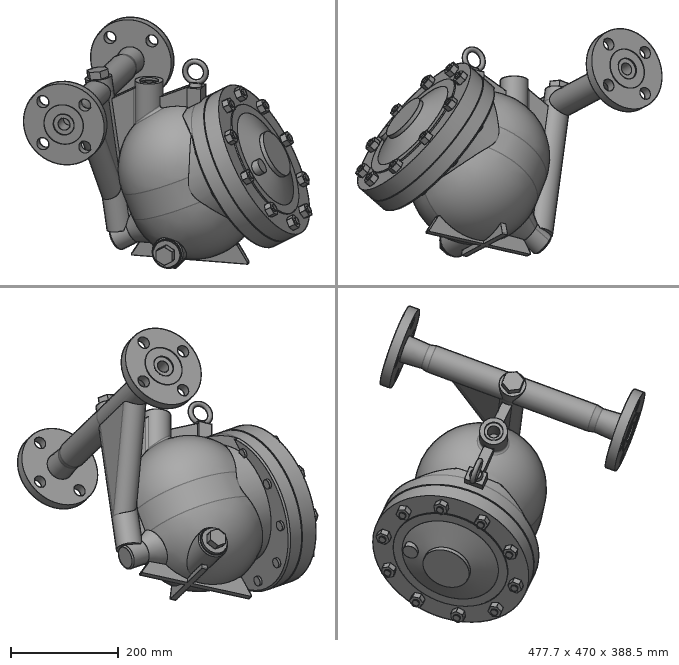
import cadquery as cq
import math


overall_width = 470.0
pipe_height = 310.5
pipe_dia = 52.0
pipe_half_length = 159.5
step_length = 12.5
reducer_waist_dia = 47.0
flange_dia = 156.0
flange_thickness = 19.0
raised_face_dia = 76.0
raised_face_height = 1.5
pipe_bore_dia = 23.0
pipe_counterbore_dia = 40.0
pipe_counterbore_depth = 3.0
pipe_bore_depth = 38.0
flange_hole_dia = 23.0
flange_hole_spacing = 81.0

tilt = 30.0
cover_x = 320.0
cover_z = 203.5
cover_dia = 305.0
cover_thickness = 33.5
body_flange_thickness = 30.5
body_flange_chamfer = 3.5
joint_gap_depth = 1.5
joint_gap_width = 1.0
body_dia = 245.0
body_low_x = 184.5
body_low_z = 127.0
body_high_x = 164.5
body_high_z = 174.5
neck_dia = 232.0
neck_lift = 24.0
neck_length = 100.3
pad_depth = 82.5
pad_width = 89.8
pad_root_width = 219.5

bolt_count = 10
bolt_circle_dia = 262.5
stud_dia = 18.0
stud_tip_dia = 13.5
stud_tip_height = 15.5
stud_end_length = 5.0
nut_size = 23.5
nut_height = 12.5
cover_rim_dia = 223.5
cover_rim_height = 3.0
dome_dia = 188.0
dome_height = 20.0
center_boss_dia = 90.0
center_boss_height = 28.0
side_boss_dia = 28.5
side_boss_offset = 74.0
side_boss_height = 20.0

down_pipe_lean = 8.3
down_pipe_dia = 49.5
down_pipe_x = 3.5
down_pipe_length = 265.0
web_reach = 109.0
web_drop = 200.5
web_edge_dia = 44.0
top_collar_height = 27.0
top_plug_size = 36.0
top_plug_height = 41.5

branch_x = 32.5
branch_z = 26.5
branch_dia = 46.5
branch_length = 119.5
branch_chamfer = 3.0
flare_start = 38.0
flare_length = 33.5
flare_dia = 81.0

inlet_x = 97.5
inlet_dia = 52.0
inlet_top = 339.0
inlet_bottom = 238.5
inlet_recess_dia = 35.0
inlet_recess_depth = 5.0
inlet_bore_dia = 23.0
inlet_bore_depth = 57.5
rib_thickness = 19.0
rib_bottom = 57.5
rib_fillet = 5.0
rib_pipe_top = 285.0
rib_inlet_top = 338.0
rib_low_top = 312.0
eye_block_x = 176.0
eye_block_length = 26.0
eye_block_width = 36.0
eye_block_top = 335.0
eye_x = 187.0
eye_z = 362.5
eye_mean_radius = 20.0
eye_wire_dia = 9.5
eye_collar_dia = 25.0
eye_collar_top_dia = 19.0
eye_collar_height = 7.5

drain_x = 163.5
drain_z = 39.0
drain_dia = 59.5
drain_face = 106.5
drain_washer_dia = 52.0
drain_washer_height = 5.5
drain_head_size = 31.0
drain_head_height = 20.5
drain_chamfer = 2.5

foot_x_min = 65.0
foot_x_max = 289.5
foot_width = 138.0
foot_height = 36.0
foot_edge = 3.0
foot_end_slope = 20.5
foot_side_slope = 9.5
foot_thickness = 11.5

hex_sides = 6
hex_half_step = 180 / hex_sides
cos_tilt = math.cos(math.radians(tilt))
sin_tilt = math.sin(math.radians(tilt))
cover_axis = cq.Vector(cos_tilt, 0, sin_tilt)
cover_up = cq.Vector(-sin_tilt, 0, cos_tilt)
cover_center = cq.Vector(cover_x, 0, cover_z)
rear_face = cq.selectors.DirectionMinMaxSelector(cover_axis, False)
flange_back = cover_thickness + body_flange_thickness


def cover_plane(depth=0.0, lift=0.0):
    """Workplane parallel to the cover: depth behind its face, lift up along it."""
    origin = cover_center - cover_axis * depth + cover_up * lift
    return cq.Workplane(cq.Plane(origin.toTuple(), (0, 1, 0), cover_axis.toTuple()))


def hex_corners(across_flats):
    """Diameter over the corners of a hexagon."""
    return across_flats / math.cos(math.radians(hex_half_step))


def manifold_half():
    """Pipe, reducer and flange on one side, turned about the pipe axis along +Y."""
    face = overall_width / 2
    plate_front = face - raised_face_height
    plate_back = plate_front - flange_thickness
    profile = [
        (0, 0),
        (pipe_dia / 2, 0),
        (pipe_dia / 2, pipe_half_length),
        (reducer_waist_dia / 2, pipe_half_length + step_length),
        (pipe_dia / 2, plate_back),
        (flange_dia / 2, plate_back),
        (flange_dia / 2, plate_front),
        (raised_face_dia / 2, plate_front),
        (raised_face_dia / 2, face),
        (pipe_counterbore_dia / 2, face),
        (pipe_counterbore_dia / 2, face - pipe_counterbore_depth),
        (pipe_bore_dia / 2, face - pipe_counterbore_depth),
        (pipe_bore_dia / 2, face - pipe_bore_depth),
        (0, face - pipe_bore_depth),
    ]
    half = cq.Workplane("XY").polyline(profile).close().revolve(360, (0, 0), (0, 1))
    holes = (
        cq.Workplane("XZ", origin=(0, face, 0))
        .rect(flange_hole_spacing, flange_hole_spacing, forConstruction=True)
        .vertices()
        .circle(flange_hole_dia / 2)
        .extrude(2 * flange_thickness)
    )
    return half.cut(holes).translate((0, 0, pipe_height))


def vessel():
    """Ball-ended body, the neck that carries its flange, and the filleted inlet boss and rib."""
    low_center = cq.Vector(body_low_x, 0, body_low_z)
    high_center = cq.Vector(body_high_x, 0, body_high_z)
    stretch = high_center - low_center
    barrel = (
        cq.Workplane(cq.Plane(low_center.toTuple(), (0, 1, 0), stretch.toTuple()))
        .circle(body_dia / 2)
        .extrude(stretch.Length)
    )
    shape = barrel
    for center in (low_center, high_center):
        shape = shape.union(cq.Workplane("XY").sphere(body_dia / 2).translate(center.toTuple()))
    neck_start = flange_back + neck_length
    neck = cover_plane(neck_start, neck_lift).circle(neck_dia / 2).extrude(neck_length)
    shape = shape.union(neck).union(inlet()).union(inlet_rib())
    root_zone = cq.selectors.BoxSelector(
        (inlet_x - inlet_dia / 2 - rib_fillet, -inlet_dia, inlet_bottom + inlet_dia / 2),
        (inlet_x + inlet_dia / 2, inlet_dia, inlet_top - inlet_dia / 2),
    )
    return shape.edges(root_zone).fillet(rib_fillet)


def pad():
    """Tapered pad behind the top of the body flange, rounded like its rim."""
    wedge_plane = cq.Plane(cover_center.toTuple(), (0, 1, 0), cover_up.toTuple())
    wedge = (
        cq.Workplane(wedge_plane)
        .polyline(
            [
                (-pad_root_width / 2, flange_back - body_flange_chamfer),
                (pad_root_width / 2, flange_back - body_flange_chamfer),
                (pad_width / 2, pad_depth),
                (-pad_width / 2, pad_depth),
            ]
        )
        .close()
        .extrude(cover_dia / 2)
    )
    return wedge.intersect(cover_plane(pad_depth).circle(cover_dia / 2).extrude(pad_depth))


def cover():
    """Body flange and cover with its domed face and two bosses."""
    shape = cover_plane(flange_back).circle(cover_dia / 2).extrude(flange_back)
    shape = shape.faces(rear_face).chamfer(body_flange_chamfer)
    joint = (
        cover_plane(cover_thickness)
        .circle(cover_dia / 2)
        .circle(cover_dia / 2 - joint_gap_depth)
        .extrude(joint_gap_width)
    )
    shape = shape.cut(joint)
    rim = cover_plane().circle(cover_rim_dia / 2).extrude(cover_rim_height)
    dome = (
        cover_plane(-cover_rim_height)
        .circle(dome_dia / 2)
        .workplane(offset=dome_height - cover_rim_height)
        .circle(center_boss_dia / 2)
        .loft()
    )
    center_boss = cover_plane().circle(center_boss_dia / 2).extrude(center_boss_height)
    side_boss = (
        cover_plane().center(-side_boss_offset, 0).circle(side_boss_dia / 2).extrude(side_boss_height)
    )
    return shape.union(rim).union(dome).union(center_boss).union(side_boss)


def fasteners():
    """Nut, stud tip and back stud end at each place on the bolt circle."""
    radius = bolt_circle_dia / 2

    def ring(depth):
        return cover_plane(depth).polarArray(radius, 0, 360, bolt_count)

    nuts = ring(0).polygon(hex_sides, hex_corners(nut_size)).extrude(nut_height)
    tips = ring(0).circle(stud_tip_dia / 2).extrude(stud_tip_height)
    ends = ring(flange_back + stud_end_length).circle(stud_dia / 2).extrude(stud_end_length)
    return nuts, tips, ends


def down_pipe():
    """Leaning pipe below the manifold, its sloping web and the plug on top."""
    upright = cq.Workplane("XY").circle(down_pipe_dia / 2).extrude(-down_pipe_length)
    outer_x = -down_pipe_dia / 2
    web = (
        cq.Workplane("YZ", origin=(outer_x, 0, 0))
        .polyline([(0, 0), (-web_reach, 0), (0, -web_drop)])
        .close()
        .extrude(web_edge_dia)
    )
    slope = cq.Vector(0, web_reach, -web_drop)
    edge_plane = cq.Plane((outer_x + web_edge_dia / 2, -web_reach, 0), (1, 0, 0), slope.toTuple())
    edge = cq.Workplane(edge_plane).circle(web_edge_dia / 2).extrude(slope.Length)
    collar = cq.Workplane("XY").circle(down_pipe_dia / 2).extrude(top_collar_height)
    plug = cq.Workplane("XY").polygon(hex_sides, hex_corners(top_plug_size)).extrude(top_plug_height)
    shape = upright.union(web).union(edge).union(collar).union(plug)
    return shape.rotate((0, 0, 0), (0, 1, 0), -down_pipe_lean).translate((down_pipe_x, 0, pipe_height))


def branch():
    """Capped tube from the foot of the down pipe into the body."""
    plane = cq.Plane((branch_x, 0, branch_z), (0, 1, 0), cover_axis.toTuple())
    tube = cq.Workplane(plane).circle(branch_dia / 2).extrude(branch_length)
    flare = (
        cq.Workplane(plane)
        .workplane(offset=flare_start)
        .circle(branch_dia / 2)
        .workplane(offset=flare_length)
        .circle(flare_dia / 2)
        .loft()
    )
    tube = tube.faces(rear_face).chamfer(branch_chamfer)
    return tube.union(flare)


def inlet():
    """Vertical inlet boss, solid until its bore is cut."""
    height = inlet_top - inlet_bottom
    base = cq.Workplane("XY", origin=(inlet_x, 0, inlet_bottom))
    return base.circle(inlet_dia / 2).extrude(height)


def inlet_rib():
    """Rib from the manifold and down pipe to the inlet boss and body."""
    profile = [
        (branch_x, rib_bottom),
        (0, rib_pipe_top),
        (inlet_x, rib_inlet_top),
        (inlet_x, rib_bottom),
    ]
    return cq.Workplane("XZ").polyline(profile).close().extrude(rib_thickness / 2, both=True)


def inlet_bore():
    """Blind stepped bore in the top of the inlet boss."""
    top = cq.Workplane("XY", origin=(inlet_x, 0, inlet_top))
    recess = top.circle(inlet_recess_dia / 2).extrude(-inlet_recess_depth)
    bore = top.circle(inlet_bore_dia / 2).extrude(-inlet_bore_depth)
    return recess.union(bore)


def lifting_eye():
    """Rib between inlet boss and eye block, with the block, collar and ring."""
    rib = (
        cq.Workplane("XZ")
        .moveTo(inlet_x, inlet_bottom)
        .lineTo(inlet_x, rib_low_top)
        .lineTo(inlet_x + inlet_dia / 2, rib_low_top)
        .lineTo(eye_block_x, eye_block_top)
        .lineTo(eye_block_x, inlet_bottom)
        .close()
        .extrude(rib_thickness / 2, both=True)
    )
    block = (
        cq.Workplane("XY", origin=(eye_block_x + eye_block_length / 2, 0, inlet_bottom))
        .rect(eye_block_length, eye_block_width)
        .extrude(eye_block_top - inlet_bottom)
    )
    collar = (
        cq.Workplane("XY", origin=(eye_x, 0, eye_block_top))
        .circle(eye_collar_dia / 2)
        .workplane(offset=eye_collar_height)
        .circle(eye_collar_top_dia / 2)
        .loft()
    )
    ring = (
        cq.Workplane("XY")
        .center(eye_mean_radius, 0)
        .circle(eye_wire_dia / 2)
        .revolve(360, (-eye_mean_radius, 0), (-eye_mean_radius, 1))
        .translate((eye_x, 0, eye_z))
    )
    return rib.union(block).union(collar).union(ring)


def drain():
    """Round boss on the -Y side with a hexagon plug."""
    face = cq.Workplane("XZ", origin=(drain_x, -drain_face, drain_z))
    boss = face.circle(drain_dia / 2).extrude(-drain_face).faces("<Y").chamfer(drain_chamfer)
    washer = face.circle(drain_washer_dia / 2).extrude(drain_washer_height)
    head = face.polygon(hex_sides, hex_corners(drain_head_size)).extrude(drain_head_height)
    head = head.rotate((drain_x, 0, drain_z), (drain_x, 1, drain_z), hex_half_step)
    return boss.union(washer).union(head)


def foot_fin(length, end_slope, thickness):
    """Upright fin along X, centred on the origin, with ends that lean inwards."""
    half = length / 2
    profile = [
        (-half, 0),
        (half, 0),
        (half, foot_edge),
        (half - end_slope, foot_height),
        (end_slope - half, foot_height),
        (-half, foot_edge),
    ]
    return cq.Workplane("XZ").polyline(profile).close().extrude(thickness / 2, both=True)


def foot():
    """Cross of two fins: a keel along X and a cross fin along Y."""
    keel_center = (foot_x_min + foot_x_max) / 2
    keel = foot_fin(foot_x_max - foot_x_min, foot_end_slope, foot_thickness)
    cross = foot_fin(foot_width, foot_side_slope, foot_thickness).rotate((0, 0, 0), (0, 0, 1), 90)
    return keel.translate((keel_center, 0, 0)).union(cross.translate((drain_x, 0, 0)))


half_manifold = manifold_half()
result = half_manifold.union(half_manifold.mirror("XZ"))
result = result.union(down_pipe()).union(branch()).union(vessel()).union(pad()).union(cover())
for parts in fasteners():
    result = result.union(parts)
result = result.union(lifting_eye()).union(drain()).union(foot()).cut(inlet_bore())